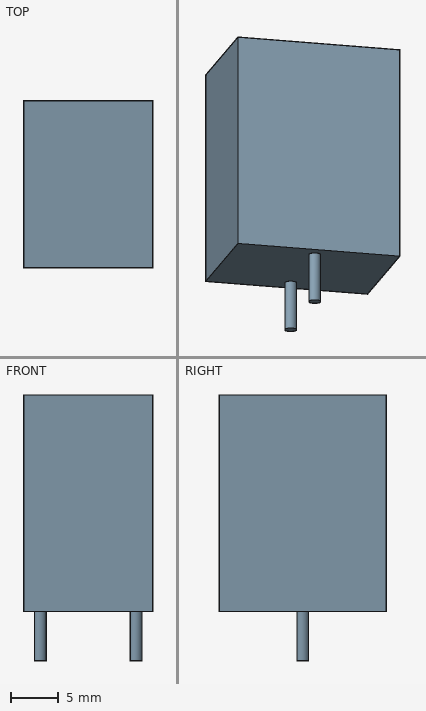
import cadquery as cq

TOTAL_HEIGHT = 27.8
BODY_WIDTH = 13.5
BODY_DEPTH = 17.5
PIN_LENGTH = 5.15
PIN_DIAMETER = 1.25
PIN_PITCH = 10.0

BODY_HEIGHT = TOTAL_HEIGHT - PIN_LENGTH


def make_housing():
    """Plain rectangular block standing on Z = 0."""
    return cq.Workplane("XY").box(BODY_WIDTH, BODY_DEPTH, BODY_HEIGHT, centered=(True, True, False))


def make_pin(x):
    """Round lead hanging from the underside of the housing."""
    return cq.Workplane("XY").center(x, 0).circle(PIN_DIAMETER / 2).extrude(-PIN_LENGTH)


housing = make_housing()
pins = [make_pin(side * PIN_PITCH / 2) for side in (-1, 1)]

result = cq.Compound.makeCompound([housing.val(), *[pin.val() for pin in pins]])